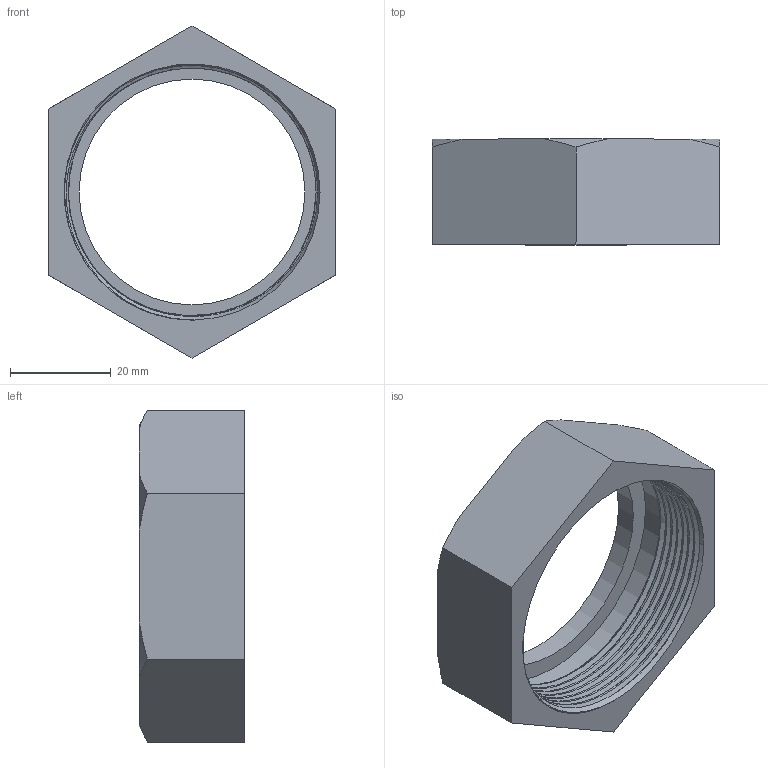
import cadquery as cq
import math

hex_sides = 6
across_flats = 57.15
across_corners = across_flats / math.cos(math.pi / hex_sides)
nut_length = 20.98

chamfer_face_radius = 30.0
chamfer_depth = 1.6

bore_radius = 22.45
bore_length = 4.15
shoulder = nut_length - bore_length

relief_radius = 25.9
relief_start = 12.2

thread_minor_radius = 24.65
thread_major_radius = 25.45
millimetres_per_inch = 25.4
threads_per_inch = 16
thread_pitch = millimetres_per_inch / threads_per_inch
thread_start = -0.5
thread_turns = 8.5
root_flat = thread_pitch / 8
crest_flat = thread_pitch / 4
groove_overlap = 0.1

mouth_radius = thread_major_radius
mouth_depth = 1.2


def along_y(shape):
    """Turn a shape built along +Z so that it runs along +Y."""
    return shape.rotate((0, 0, 0), (1, 0, 0), -90)


def revolve_about_y(points):
    """Turn a closed (radius, y) outline about the Y axis."""
    return cq.Workplane("XY").polyline(points).close().revolve(360, (0, 0, 0), (0, 1, 0))


def hexagon():
    """Hexagonal prism from y = 0 to the full length."""
    half_side_angle = 180 / hex_sides
    prism = cq.Workplane("XY").polygon(hex_sides, across_corners).extrude(nut_length)
    return along_y(prism.rotate((0, 0, 0), (0, 0, 1), half_side_angle))


def chamfer_envelope():
    """Turned blank whose conical end trims the hexagon corners at +Y."""
    corner_radius = across_corners / 2
    return revolve_about_y(
        [
            (0, 0),
            (corner_radius, 0),
            (corner_radius, nut_length - chamfer_depth),
            (chamfer_face_radius, nut_length),
            (0, nut_length),
        ]
    )


def stepped_bore():
    """Mouth chamfer, thread bore, relief groove and the narrower bore behind it."""
    return revolve_about_y(
        [
            (0, 0),
            (mouth_radius, 0),
            (thread_minor_radius, mouth_depth),
            (thread_minor_radius, relief_start),
            (relief_radius, relief_start),
            (relief_radius, shoulder),
            (bore_radius, shoulder),
            (bore_radius, nut_length),
            (0, nut_length),
        ]
    )


def thread_groove():
    """Helical groove cutter with a trapezoidal section."""
    flank_width = (thread_pitch - root_flat - crest_flat) / 2
    flank_slope = flank_width / (thread_major_radius - thread_minor_radius)
    inner_radius = thread_minor_radius - groove_overlap
    inner_half_width = root_flat / 2 + flank_width + flank_slope * groove_overlap
    section = cq.Workplane("XZ").polyline(
        [
            (inner_radius, -inner_half_width),
            (thread_major_radius, -root_flat / 2),
            (thread_major_radius, root_flat / 2),
            (inner_radius, inner_half_width),
        ]
    )
    path = cq.Wire.makeHelix(thread_pitch, thread_pitch * thread_turns, thread_minor_radius)
    groove = section.close().sweep(cq.Workplane(path), isFrenet=True)
    return along_y(groove).translate((0, thread_start, 0))


body = hexagon().intersect(chamfer_envelope())
result = body.cut(stepped_bore()).cut(thread_groove())